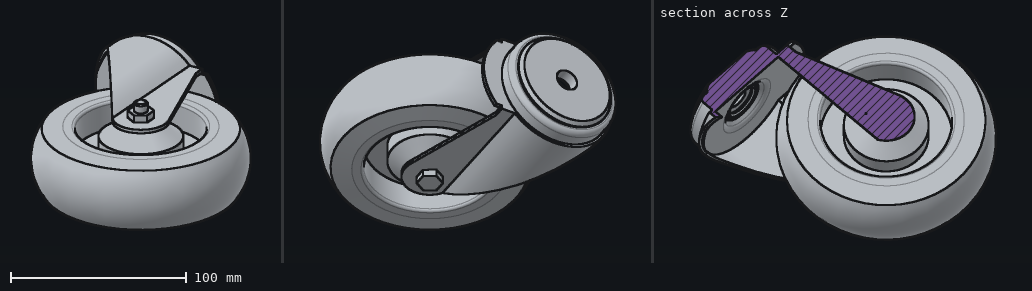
import cadquery as cq
import math


tread_radius = 62.5
shoulder_radius = 56.4
shoulder_height = 18.6
rim_face_radius = 44.4
wheel_half_width = 20.1
recess_radius = 37.5
rim_round = 1.6
web_half_thickness = 3
hub_radius = 24.1
hub_shoulder_height = 14.0
hub_tip_radius = 11.7

sheet = 2.2
swivel_x = -39.9
fork_radius = 36.7
fork_outer_half = 25.5
fork_inner_half = fork_outer_half - sheet
fork_top = 74.0
base_bottom = fork_top - sheet
leg_end_radius = 16.2
leg_front_top = (-5.0, 66.9)
rear_curve_start = (-59.4, 59.4)
rear_curve_middle = (-68.4, 69)
rear_curve_end = (swivel_x - fork_radius, fork_top)
tab_center_x = -30

head_radius = 35.02
head_shoulder_y = 84.3
overall_length = 150
head_top = overall_length - tread_radius
cap_radius = 30.3
cap_chamfer = 2.4
head_round = 3.3

flare_radius = 19.5
flare_middle = (17.4, 0.5)
flare_end = (15.7, 1.8)
socket_radius = 13.5
socket_depth = 4.0
groove_depth = 5.4
lip_outer_radius = 12
lip_inner_radius = 10.5
lip_depth = 3.6
mouth_radius = 9.3
mouth_depth = 5.1
cone_start_depth = 6
cone_end_depth = 7.3
through_radius = 6.52

bolt_diameter = 8.0
bolt_top = 35.4
bolt_chamfer = 0.9
hex_corner_diameter = 15
hex_height = 4.5


def make_wheel():
    """Crowned tyre with a recessed web and a conical hub on both sides."""
    upper = [
        (shoulder_radius, shoulder_height),
        (rim_face_radius, wheel_half_width),
        (recess_radius + rim_round, wheel_half_width),
    ]
    recess = [
        (recess_radius, web_half_thickness),
        (hub_radius, web_half_thickness),
        (hub_radius, hub_shoulder_height),
        (hub_tip_radius, fork_inner_half),
    ]
    mirrored_upper = [(radius, -height) for radius, height in reversed(upper)]
    mirrored_recess = [(radius, -height) for radius, height in reversed(recess)]
    rim_round_end = (recess_radius, wheel_half_width - rim_round)
    mirrored_round_end = (recess_radius, -rim_round_end[1])
    profile = (
        cq.Workplane("XZ")
        .moveTo(0, -fork_inner_half)
        .polyline(mirrored_recess, includeCurrent=True)
        .lineTo(*mirrored_round_end)
        .radiusArc(mirrored_upper[0], -rim_round)
        .polyline(mirrored_upper[1:], includeCurrent=True)
        .threePointArc((tread_radius, 0), upper[0])
        .polyline(upper[1:], includeCurrent=True)
        .radiusArc(rim_round_end, -rim_round)
        .polyline(recess, includeCurrent=True)
        .lineTo(0, fork_inner_half)
        .close()
    )
    return profile.revolve(360, (0, 0, 0), (0, 1, 0))


def keyhole(radius, half_width):
    """Round swivel end joined to a straight channel, extruded along Y."""
    bottom = -leg_end_radius
    height = fork_top - bottom
    length = leg_end_radius - swivel_x
    round_end = (
        cq.Workplane("XZ", origin=(swivel_x, bottom, 0)).circle(radius).extrude(-height)
    )
    channel = cq.Workplane("XY").box(length, height, 2 * half_width)
    return round_end.union(
        channel.translate((swivel_x + length / 2, bottom + height / 2, 0))
    )


def tangent_point(point, side):
    """Point where a line from the given point touches the round leg end."""
    distance = math.hypot(*point)
    angle = math.atan2(point[1], point[0]) + side * math.acos(leg_end_radius / distance)
    return (leg_end_radius * math.cos(angle), leg_end_radius * math.sin(angle))


def make_fork():
    """Bent sheet around the swivel axis, trimmed to two tapered legs."""
    bent_sheet = keyhole(fork_radius, fork_outer_half).cut(
        keyhole(fork_radius - sheet, fork_inner_half)
    )
    side_outline = (
        cq.Workplane("XY")
        .moveTo(*rear_curve_end)
        .lineTo(leg_front_top[0], fork_top)
        .lineTo(*leg_front_top)
        .lineTo(*tangent_point(leg_front_top, -1))
        .threePointArc((0, -leg_end_radius), tangent_point(rear_curve_start, 1))
        .lineTo(*rear_curve_start)
        .threePointArc(rear_curve_middle, rear_curve_end)
        .close()
        .extrude(fork_radius, both=True)
    )
    return bent_sheet.intersect(side_outline)


def make_base():
    """Base plate closing the fork, with a round-ended tab between the legs."""
    plate = (
        cq.Workplane("XZ", origin=(swivel_x, base_bottom, 0))
        .circle(head_radius)
        .extrude(-sheet)
    )
    tab_root = math.sqrt(fork_radius**2 - fork_inner_half**2)
    tab = (
        cq.Workplane("XZ", origin=(tab_center_x, base_bottom, 0))
        .moveTo(0, -fork_inner_half)
        .lineTo(tab_root, -fork_inner_half)
        .threePointArc((fork_radius, 0), (tab_root, fork_inner_half))
        .lineTo(0, fork_inner_half)
        .close()
        .extrude(-sheet)
    )
    return plate.union(tab)


def make_head():
    """Rounded swivel housing with a chamfered cap."""
    housing = (
        cq.Workplane("XZ", origin=(swivel_x, fork_top, 0))
        .circle(head_radius)
        .extrude(fork_top - head_shoulder_y)
        .faces(">Y")
        .edges()
        .fillet(head_round)
    )
    cap = (
        cq.Workplane("XZ", origin=(swivel_x, head_shoulder_y, 0))
        .circle(cap_radius)
        .extrude(head_shoulder_y - head_top)
        .faces(">Y")
        .edges()
        .chamfer(cap_chamfer)
    )
    return housing.union(cap)


def make_socket():
    """Flared hole along the swivel axis with a ring-shaped lip and a countersunk bore."""
    return (
        cq.Workplane("XY", origin=(swivel_x, base_bottom, 0))
        .lineTo(flare_radius, 0)
        .threePointArc(flare_middle, flare_end)
        .lineTo(socket_radius, socket_depth)
        .lineTo(socket_radius, groove_depth)
        .lineTo(lip_outer_radius, groove_depth)
        .lineTo(lip_outer_radius, lip_depth)
        .lineTo(lip_inner_radius, lip_depth)
        .lineTo(mouth_radius, mouth_depth)
        .lineTo(mouth_radius, cone_start_depth)
        .lineTo(through_radius, cone_end_depth)
        .lineTo(through_radius, head_top - base_bottom)
        .lineTo(0, head_top - base_bottom)
        .close()
        .revolve(360, (0, 0, 0), (0, 1, 0))
    )


def make_bolt():
    """Axle bolt with a hexagon head below and a hexagon nut above."""
    shank = (
        cq.Workplane("XY", origin=(0, 0, -fork_outer_half))
        .circle(bolt_diameter / 2)
        .extrude(fork_outer_half + bolt_top)
        .faces(">Z")
        .edges()
        .chamfer(bolt_chamfer)
    )
    hexagon = (
        cq.Workplane("XY", origin=(0, 0, fork_outer_half))
        .polygon(6, hex_corner_diameter)
        .extrude(hex_height)
        .rotate((0, 0, 0), (0, 0, 1), 90)
    )
    return shank.union(hexagon).union(hexagon.mirror("XY"))


swivel = make_fork().union(make_base()).union(make_head()).cut(make_socket())
result = swivel.union(make_wheel()).union(make_bolt())